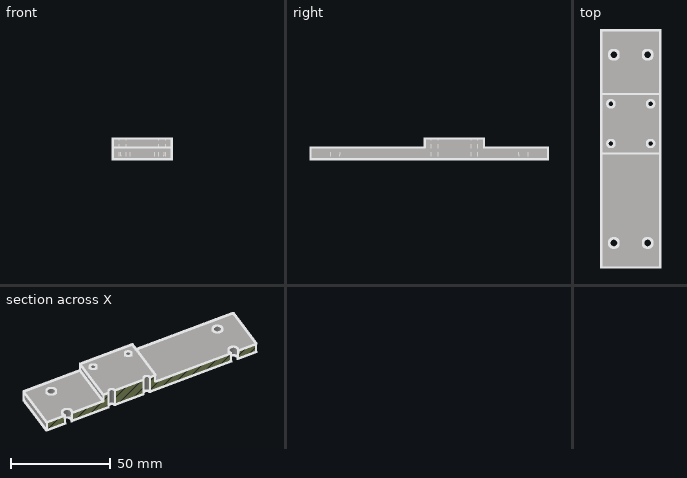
import cadquery as cq

plate_width = 30.0
plate_length = 120.0
plate_thickness = 6.0

total_height = 10.5
pad_length = plate_width
pad_center_y = 12.7

end_hole_top_diameter = 4.9
end_hole_bottom_diameter = 4.5
end_hole_spacing_x = 17.0
end_hole_spacing_y = 95.0

pad_hole_diameter = 3.5
pad_hole_spacing = 20.0


def hole_pattern(bottom_diameter, top_diameter, depth, spacing_x, spacing_y, center_y):
    """Four vertical cutters, straight or conical, rising from the underside."""
    return (
        cq.Workplane("XY")
        .center(0, center_y)
        .rarray(spacing_x, spacing_y, 2, 2)
        .eachpoint(lambda place: round_cutter(bottom_diameter, top_diameter, depth).moved(place))
    )


def round_cutter(bottom_diameter, top_diameter, depth):
    """A vertical cutter standing on Z = 0."""
    if bottom_diameter == top_diameter:
        return cq.Solid.makeCylinder(top_diameter / 2, depth)
    return cq.Solid.makeCone(bottom_diameter / 2, top_diameter / 2, depth)


plate = cq.Workplane("XY").box(
    plate_width, plate_length, plate_thickness, centered=(True, True, False)
)
pad = (
    cq.Workplane("XY")
    .center(0, pad_center_y)
    .rect(plate_width, pad_length)
    .extrude(total_height)
)
end_holes = hole_pattern(
    end_hole_bottom_diameter,
    end_hole_top_diameter,
    plate_thickness,
    end_hole_spacing_x,
    end_hole_spacing_y,
    center_y=0,
)
pad_holes = hole_pattern(
    pad_hole_diameter,
    pad_hole_diameter,
    total_height,
    pad_hole_spacing,
    pad_hole_spacing,
    pad_center_y,
)

result = plate.union(pad).cut(end_holes).cut(pad_holes)